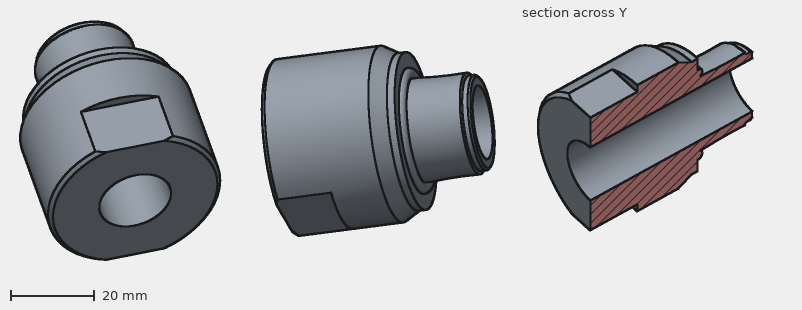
import cadquery as cq

length = 49.15
nose_chamfer = 0.55
nose_end_x = 1.85
neck_start_x = 2.25
neck_end_x = 14.75
collar_start_x = 16.55
collar_end_x = 18.5
body_start_x = 22.45
flat_start_x = 34.95

bore_radius = 17.8 / 2
nose_radius = 23.1 / 2
neck_start_radius = 12.3
neck_waist_radius = 12.25
neck_end_radius = 12.6
collar_radius = 38.1 / 2
body_radius = 42.65 / 2

body_chamfer = 1.0
bead_center_radius = 13.75
bead_tube_radius = 1.45
flat_half_spacing = collar_radius


def make_turned_body():
    """Nose, slightly waisted neck, collar and main body as one revolved profile."""
    waist_x = (neck_start_x + neck_end_x) / 2
    profile = (
        cq.Workplane("XY")
        .moveTo(0, bore_radius)
        .lineTo(0, nose_radius - nose_chamfer)
        .lineTo(nose_chamfer, nose_radius)
        .lineTo(nose_end_x, nose_radius)
        .lineTo(neck_start_x, neck_start_radius)
        .threePointArc((waist_x, neck_waist_radius), (neck_end_x, neck_end_radius))
        .lineTo(collar_start_x, neck_end_radius)
        .lineTo(collar_start_x, collar_radius)
        .lineTo(collar_end_x, collar_radius)
        .lineTo(body_start_x, body_radius)
        .lineTo(length - body_chamfer, body_radius)
        .lineTo(length, body_radius - body_chamfer)
        .lineTo(length, bore_radius)
        .close()
    )
    return profile.revolve(360, (0, 0, 0), (1, 0, 0))


def make_bead():
    """Rounded sealing ring, half sunk into the collar face."""
    section = cq.Workplane("XY").center(collar_start_x, bead_center_radius).circle(bead_tube_radius)
    return section.revolve(360, (0, -bead_center_radius, 0), (1, -bead_center_radius, 0))


def make_flat_cutter(side):
    """Block that removes everything beyond one wrench flat; side is +1 or -1 along Z."""
    flat_length = length - flat_start_x
    cut_depth = body_radius - flat_half_spacing
    block = cq.Workplane("XY").box(flat_length, 2 * body_radius, cut_depth)
    center_z = side * (flat_half_spacing + cut_depth / 2)
    return block.translate((flat_start_x + flat_length / 2, 0, center_z))


result = make_turned_body().union(make_bead())
for flat_side in (1, -1):
    result = result.cut(make_flat_cutter(flat_side))